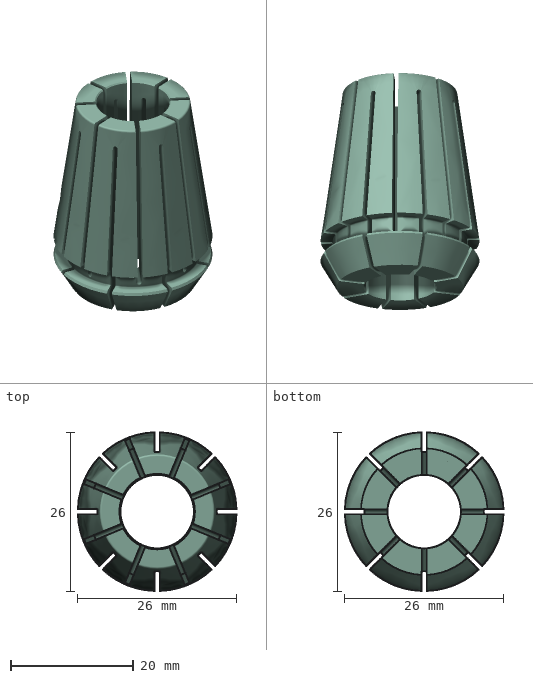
import cadquery as cq
import math

LENGTH = 34.0
MAX_RADIUS = 13.0
BORE_RADIUS = 6.0

TAPER_ANGLE = math.radians(8)
TAPER_BOTTOM = 8.1
TOP_RADIUS = MAX_RADIUS - (LENGTH - TAPER_BOTTOM) * math.tan(TAPER_ANGLE)

NECK_RADIUS = 11.0
NOSE_ANGLE = math.radians(30)
NOSE_TOP = 5.0

RIM_CHAMFER = 0.48
RIM_HEIGHT = NOSE_TOP - RIM_CHAMFER * math.cos(NOSE_ANGLE)
NOSE_TOP_RADIUS = MAX_RADIUS + RIM_CHAMFER * math.sin(NOSE_ANGLE) - RIM_CHAMFER
NOSE_BOTTOM_RADIUS = MAX_RADIUS - RIM_HEIGHT * math.tan(NOSE_ANGLE)

TOP_FILLET = 0.35
NECK_FILLET = 0.2
BORE_CHAMFER = 0.2
RADIUS_TOLERANCE = 0.005

SLITS_PER_SET = 8
SLIT_PITCH = 360 / SLITS_PER_SET
SLIT_WIDTH = 0.8
TOP_SLIT_END = 5.5
BOTTOM_SLIT_END = 31.05
CUT_MARGIN = 0.68


def collet_body():
    """Revolve the wall section, from the bore out to the tapered outside."""
    section = (
        cq.Workplane("XZ")
        .moveTo(BORE_RADIUS, 0)
        .lineTo(NOSE_BOTTOM_RADIUS, 0)
        .lineTo(MAX_RADIUS, RIM_HEIGHT)
        .lineTo(NOSE_TOP_RADIUS, NOSE_TOP)
        .lineTo(NECK_RADIUS, NOSE_TOP)
        .lineTo(NECK_RADIUS, TAPER_BOTTOM)
        .lineTo(MAX_RADIUS, TAPER_BOTTOM)
        .lineTo(TOP_RADIUS, LENGTH)
        .lineTo(BORE_RADIUS, LENGTH)
        .close()
    )
    return section.revolve(360, (0, 0, 0), (0, 1, 0))


def ring_edges(body, radius):
    """Select the circular edges of the given radius."""
    circles = body.edges("%CIRCLE")
    return circles.filter(lambda edge: abs(edge.radius() - radius) < RADIUS_TOLERANCE)


def dress_edges(body):
    """Round the top rim and the groove corners, and break the bore's top mouth."""
    body = ring_edges(body, TOP_RADIUS).fillet(TOP_FILLET)
    body = ring_edges(body, NECK_RADIUS).fillet(NECK_FILLET)
    return ring_edges(body.faces(">Z"), BORE_RADIUS).chamfer(BORE_CHAMFER)


def slit(angle, round_end, open_end):
    """Radial slot on one side of the axis, with a full-round closed end."""
    half = SLIT_WIDTH / 2
    inward = half if open_end > round_end else -half
    cutter = (
        cq.Workplane("YZ")
        .moveTo(-half, open_end)
        .lineTo(-half, round_end + inward)
        .threePointArc((0, round_end), (half, round_end + inward))
        .lineTo(half, open_end)
        .close()
        .extrude(MAX_RADIUS + CUT_MARGIN)
    )
    return cutter.rotate((0, 0, 0), (0, 0, 1), angle)


result = dress_edges(collet_body())
for index in range(SLITS_PER_SET):
    result = result.cut(slit(index * SLIT_PITCH, BOTTOM_SLIT_END, -CUT_MARGIN))
    result = result.cut(slit((index + 0.5) * SLIT_PITCH, TOP_SLIT_END, LENGTH + CUT_MARGIN))